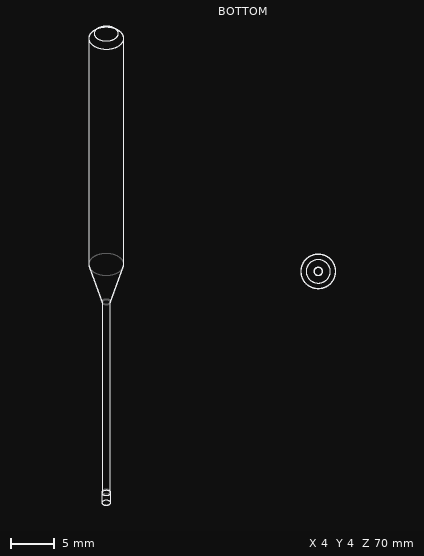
import cadquery as cq

total_length = 70.0
shank_diameter = 4.0
neck_diameter = 0.9
head_diameter = 1.0

head_length = 1.5
head_back_taper = 0.2
neck_top = 29.9
collar_length = 0.15
taper_top = 35.55

bevel_inset = 0.6
bevel_height = 0.7

shank_radius = shank_diameter / 2
neck_radius = neck_diameter / 2
head_radius = head_diameter / 2


def revolve_profile(points):
    """Turn an outline of (radius, height) points about the Z axis."""
    return cq.Workplane("XZ").polyline(points).close().revolve(360, (0, 0, 0), (0, 1, 0))


def make_cutting_head():
    """Short cylindrical cutting tip."""
    return cq.Workplane("XY").circle(head_radius).extrude(head_length)


def make_shank():
    """Slim neck, conical transition and cylindrical shank with a bevelled top."""
    return revolve_profile([
        (0, head_length),
        (head_radius, head_length),
        (neck_radius, head_length + head_back_taper),
        (neck_radius, neck_top),
        (head_radius, neck_top + collar_length),
        (shank_radius, taper_top),
        (shank_radius, total_length - bevel_height),
        (shank_radius - bevel_inset, total_length),
        (0, total_length),
    ])


cutting_head = make_cutting_head()
shank = make_shank()

result = cq.Compound.makeCompound([cutting_head.val(), shank.val()])